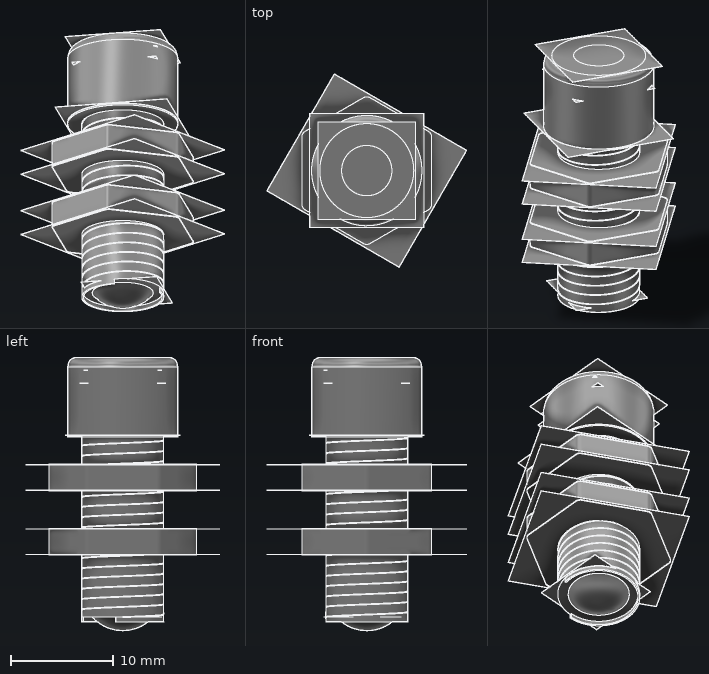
import cadquery as cq
import math

TOTAL_HEIGHT = 26.75
SHEET_THICKNESS = 0.03

STEM_RADIUS = 4.0
STEM_BOTTOM_Z = 1.35
STEM_TOP_Z = 24.2
THREAD_TURNS = 17.6
THREAD_START_ANGLE = 180.0
THREAD_START_Z = STEM_BOTTOM_Z
THREAD_GROOVE_DEPTH = 0.05
THREAD_GROOVE_HALF_WIDTH = 0.04
STEM_SHEET_SIDE = 7.55
STEM_SHEET_SHIFT_X = -0.4

RIM_BOTTOM_Z = 0.88
RIM_WALL = 0.15
RIM_GAP_START = 90.0
RIM_GAP_SWEEP = 80.0

HEAD_RADIUS = 5.4
HEAD_BOTTOM_Z = 18.97
HEAD_TOP_FACE_RADIUS = 4.6
HEAD_BEVEL_WIDTH = 0.05
HEAD_BEVEL_HEIGHT = 0.15
HEAD_TOP_SHEET_SIDE = 9.52
HEAD_BOTTOM_SHEET_SIDE = 11.18
HEAD_BOTTOM_SHEET_RISE = 0.15
HEAD_SEAT_SHEET_SIDE = 8.4
HEAD_UPPER_SHEET_Z = 25.47

BUTTON_RADIUS = 2.45

NUT_ACROSS_FLATS = 12.68
NUT_CORNER_RADIUS = 0.62
NUT_HEIGHT = 2.62
NUT_SHEET_LENGTH = 14.95
NUT_SHEET_WIDTH = 13.21
NUT_SHEET_ANGLE = -30.0
NUT_SHEET_INSET = 0.05
LOWER_NUT_Z = 7.4
NUT_SPACING = 6.29
NUT_COUNT = 2

LENS_SPHERE_RADIUS = 4.0
LENS_HEIGHT = STEM_BOTTOM_Z

OVERRUN = 0.05


def cylinder(radius, bottom_z, top_z):
    """Upright cylinder on the Z axis."""
    return cq.Workplane("XY").workplane(offset=bottom_z).circle(radius).extrude(top_z - bottom_z)


def sheet(length, width, bottom_z, center_x=0.0, angle=0.0):
    """Thin level sheet, turned about the Z axis by an angle in degrees."""
    return (
        cq.Workplane("XY")
        .box(length, width, SHEET_THICKNESS, centered=(True, True, False))
        .translate((center_x, 0, bottom_z))
        .rotate((0, 0, 0), (0, 0, 1), angle)
    )


def make_rim_gap():
    """Part ring that opens the rim on one side, revolved from an upright section."""
    inner_radius = STEM_RADIUS - RIM_WALL - OVERRUN
    outer_radius = STEM_RADIUS + OVERRUN
    return (
        cq.Workplane("XZ")
        .moveTo(inner_radius, RIM_BOTTOM_Z - OVERRUN)
        .lineTo(outer_radius, RIM_BOTTOM_Z - OVERRUN)
        .lineTo(outer_radius, STEM_BOTTOM_Z)
        .lineTo(inner_radius, STEM_BOTTOM_Z)
        .close()
        .revolve(RIM_GAP_SWEEP, (0, 0, 0), (0, 1, 0))
        .rotate((0, 0, 0), (0, 0, 1), RIM_GAP_START)
    )


def make_thread_groove():
    """Shallow right-handed V groove that starts on the -X side at the stem's end."""
    length = HEAD_BOTTOM_Z - THREAD_START_Z
    path = cq.Wire.makeHelix(length / THREAD_TURNS, length, STEM_RADIUS)
    slope = THREAD_GROOVE_HALF_WIDTH / THREAD_GROOVE_DEPTH
    mouth_half_width = THREAD_GROOVE_HALF_WIDTH + OVERRUN * slope
    return (
        cq.Workplane("XZ")
        .moveTo(STEM_RADIUS - THREAD_GROOVE_DEPTH, 0)
        .lineTo(STEM_RADIUS + OVERRUN, -mouth_half_width)
        .lineTo(STEM_RADIUS + OVERRUN, mouth_half_width)
        .close()
        .sweep(cq.Workplane(path), isFrenet=True)
        .rotate((0, 0, 0), (0, 0, 1), THREAD_START_ANGLE)
        .translate((0, 0, THREAD_START_Z))
    )


def make_stem():
    """Threaded rod with a thin open rim and a sheet at its lower end."""
    body = cylinder(STEM_RADIUS, RIM_BOTTOM_Z, STEM_TOP_Z)
    body = body.cut(make_thread_groove())
    body = body.cut(cylinder(STEM_RADIUS - RIM_WALL, RIM_BOTTOM_Z, STEM_BOTTOM_Z))
    body = body.cut(make_rim_gap())
    return body.union(sheet(STEM_SHEET_SIDE, STEM_SHEET_SIDE, STEM_BOTTOM_Z, STEM_SHEET_SHIFT_X))


def make_head():
    """Round head with a rounded top edge, bored for the stem below and the button above."""
    round_radius = HEAD_RADIUS - HEAD_BEVEL_WIDTH - HEAD_TOP_FACE_RADIUS
    round_top_z = TOTAL_HEIGHT - SHEET_THICKNESS
    round_bottom_z = round_top_z - round_radius
    round_center = (HEAD_TOP_FACE_RADIUS, round_bottom_z)
    round_middle = (
        round_center[0] + round_radius * math.sqrt(0.5),
        round_center[1] + round_radius * math.sqrt(0.5),
    )
    body = (
        cq.Workplane("XZ")
        .moveTo(0, HEAD_BOTTOM_Z)
        .lineTo(HEAD_RADIUS, HEAD_BOTTOM_Z)
        .lineTo(HEAD_RADIUS, round_bottom_z - HEAD_BEVEL_HEIGHT)
        .lineTo(HEAD_RADIUS - HEAD_BEVEL_WIDTH, round_bottom_z)
        .threePointArc(round_middle, (HEAD_TOP_FACE_RADIUS, round_top_z))
        .lineTo(0, round_top_z)
        .close()
        .revolve(360, (0, 0, 0), (0, 1, 0))
    )
    sheets = [
        sheet(HEAD_TOP_SHEET_SIDE, HEAD_TOP_SHEET_SIDE, round_top_z),
        sheet(STEM_SHEET_SIDE, STEM_SHEET_SIDE, HEAD_UPPER_SHEET_Z, STEM_SHEET_SHIFT_X),
        sheet(HEAD_SEAT_SHEET_SIDE, HEAD_SEAT_SHEET_SIDE, STEM_TOP_Z),
        sheet(HEAD_BOTTOM_SHEET_SIDE, HEAD_BOTTOM_SHEET_SIDE, HEAD_BOTTOM_Z + HEAD_BOTTOM_SHEET_RISE),
    ]
    for square in sheets:
        body = body.union(square)
    body = body.cut(cylinder(STEM_RADIUS, HEAD_BOTTOM_Z, STEM_TOP_Z))
    return body.cut(cylinder(BUTTON_RADIUS, STEM_TOP_Z, TOTAL_HEIGHT))


def make_button():
    """Round button that fills the bore in the head, flush with its top."""
    return cylinder(BUTTON_RADIUS, STEM_TOP_Z, TOTAL_HEIGHT)


def make_nut(bottom_z):
    """Hexagonal nut with flats on +X and -X and a thin sheet near each end face."""
    half_corner_step = 30
    across_corners = NUT_ACROSS_FLATS / math.cos(math.radians(half_corner_step))
    body = (
        cq.Workplane("XY")
        .polygon(6, across_corners)
        .extrude(NUT_HEIGHT)
        .edges("|Z")
        .fillet(NUT_CORNER_RADIUS)
        .rotate((0, 0, 0), (0, 0, 1), half_corner_step)
    )
    lower_sheet_z = NUT_SHEET_INSET
    upper_sheet_z = NUT_HEIGHT - NUT_SHEET_INSET - SHEET_THICKNESS
    for sheet_z in (lower_sheet_z, upper_sheet_z):
        body = body.union(sheet(NUT_SHEET_LENGTH, NUT_SHEET_WIDTH, sheet_z, angle=NUT_SHEET_ANGLE))
    body = body.cut(cylinder(STEM_RADIUS, 0, NUT_HEIGHT))
    return body.translate((0, 0, bottom_z))


def make_lens():
    """Spherical cap that hangs from the stem's end face."""
    ball = cq.Workplane("XY").sphere(LENS_SPHERE_RADIUS).translate((0, 0, LENS_SPHERE_RADIUS))
    return ball.intersect(cylinder(LENS_SPHERE_RADIUS, 0, LENS_HEIGHT))


head = make_head()
stem = make_stem()
button = make_button()
lens = make_lens()
nuts = [make_nut(LOWER_NUT_Z + i * NUT_SPACING) for i in range(NUT_COUNT)]

result = cq.Compound.makeCompound(
    [head.val(), stem.val(), button.val(), lens.val(), *[nut.val() for nut in nuts]]
)